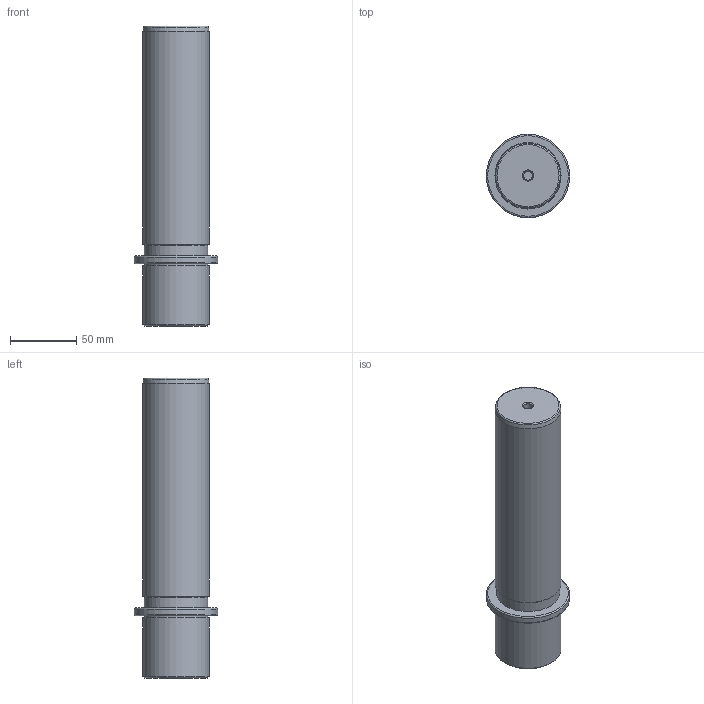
import cadquery as cq

total_length = 227.0
shaft_radius = 25.0
bottom_chamfer = 1.0

taper_length = 4.0
taper_depth = 0.7
rim_round = 1.0

flange_radius = 31.5
flange_bottom = 47.0
flange_thickness = 6.0
flange_round = 1.0
flange_top = flange_bottom + flange_thickness

relief_width = 1.0
relief_depth = 0.5

neck_radius = 24.0
neck_length = 9.0
neck_top = flange_top + neck_length

hole_diameter = 6.8
hole_depth = 20.0
countersink_diameter = 8.6
countersink_angle = 90.0


def make_pin():
    """Revolve the half section (radius, height) about the Z axis."""
    relief_radius = shaft_radius - relief_depth
    relief_bottom = flange_bottom - relief_width
    neck_step = shaft_radius - neck_radius
    half_section = (
        cq.Workplane("XZ")
        .moveTo(0, 0)
        .lineTo(shaft_radius - bottom_chamfer, 0)
        .lineTo(shaft_radius, bottom_chamfer)
        .lineTo(shaft_radius, relief_bottom - relief_depth)
        .lineTo(relief_radius, relief_bottom)
        .lineTo(relief_radius, flange_bottom)
        .lineTo(flange_radius, flange_bottom)
        .lineTo(flange_radius, flange_top)
        .lineTo(neck_radius, flange_top)
        .lineTo(neck_radius, neck_top - neck_step)
        .lineTo(shaft_radius, neck_top)
        .lineTo(shaft_radius, total_length - taper_length)
        .lineTo(shaft_radius - taper_depth, total_length)
        .lineTo(0, total_length)
        .close()
    )
    return half_section.revolve(360, (0, 0, 0), (0, 1, 0))


def round_top_rim(body):
    return body.faces(">Z").edges().fillet(rim_round)


def round_flange_rims(body):
    widest_circles = cq.selectors.RadiusNthSelector(-1)
    return body.edges("%CIRCLE").edges(widest_circles).fillet(flange_round)


def drill_top_hole(body):
    return (
        body.faces(">Z")
        .workplane()
        .cskHole(hole_diameter, countersink_diameter, countersink_angle, hole_depth)
    )


pin = make_pin()
pin = round_top_rim(pin)
pin = round_flange_rims(pin)
result = drill_top_hole(pin)